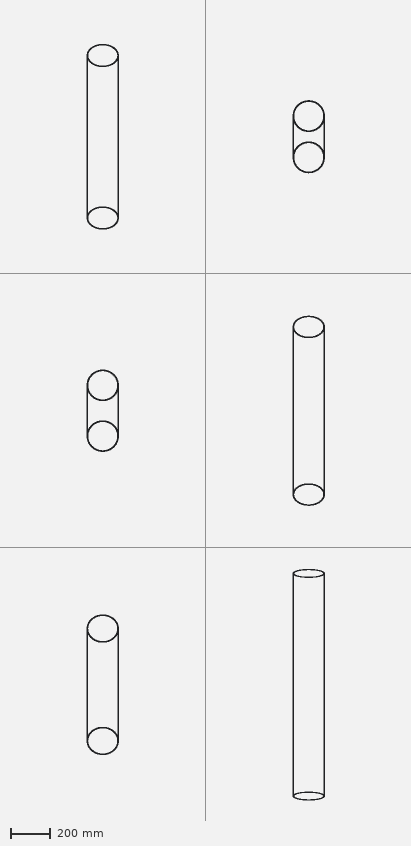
import cadquery as cq

length = 1180.0
outer_diameter = 160.0
wall_thickness = 3.2

outer_radius = outer_diameter / 2
inner_radius = outer_radius - wall_thickness

result = cq.Workplane("XY").circle(outer_radius).circle(inner_radius).extrude(length)